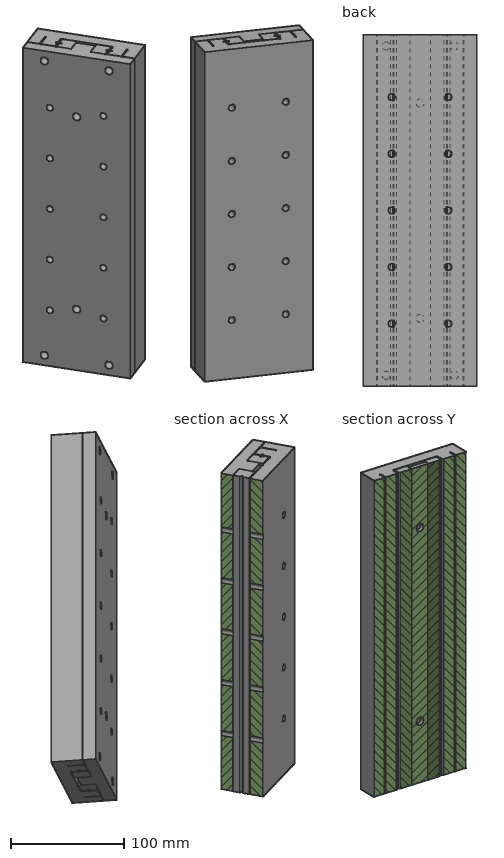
import cadquery as cq

LENGTH = 310.0
WIDTH = 100.0
HEIGHT = 40.0

BASE_THICKNESS = 11.5
RIB_WIDTH = 18.0
RIB_TOP = 24.2

RAIL_OUTER_X = 23.0
RAIL_TOP = 27.0

CARRIAGE_BOTTOM = 12.0
RUNNING_GAP = 1.2
CHANNEL_HALF_WIDTH = RAIL_OUTER_X + RUNNING_GAP
CHANNEL_TOP = 27.5
CHANNEL_CHAMFER = 0.5
SLIT_X = 38.0
SLIT_WIDTH = 1.0
SLIT_TOP = 27.0

GROOVE_Y = 19.5
GROOVE_HALF_HEIGHT = 1.5
GROOVE_DEPTH = 2.2

MOUNT_DIAMETER = 7.0
MOUNT_CORNER_X = 30.0
MOUNT_CORNER_Z = 145.0
MOUNT_CENTRE_Z = 95.0
ACCESS_DIAMETER = 6.0
ACCESS_PITCH = 50.0
ACCESS_X = ACCESS_PITCH / 2
ACCESS_ROWS = 5

MOUNT_POINTS = [
    (x, z)
    for x in (-MOUNT_CORNER_X, MOUNT_CORNER_X)
    for z in (-MOUNT_CORNER_Z, MOUNT_CORNER_Z)
]
MOUNT_POINTS += [(0, z) for z in (-MOUNT_CENTRE_Z, MOUNT_CENTRE_Z)]
ACCESS_POINTS = [
    (side * ACCESS_X, (row - (ACCESS_ROWS - 1) / 2) * ACCESS_PITCH)
    for side in (-1, 1)
    for row in range(ACCESS_ROWS)
]


def bar(x_min, x_max, y_min, y_max):
    """Full-length rectangular bar, centred on Z = 0."""
    return (
        cq.Workplane("XY", origin=(x_min, y_min, 0))
        .box(x_max - x_min, y_max - y_min, LENGTH, centered=(False, False, True))
    )


def holes(points, diameter, y_min, y_max):
    """Cylinders along Y from y_min to y_max at the given (x, z) points."""
    plane = cq.Plane(origin=(0, y_min, 0), xDir=(1, 0, 0), normal=(0, -1, 0))
    return cq.Workplane(plane).pushPoints(points).circle(diameter / 2).extrude(y_min - y_max)


def groove(side, face_x, direction):
    """V-groove cutter with its mouth on face_x; direction +1 points away from the centre, -1 towards it."""
    tip_x = face_x + direction * GROOVE_DEPTH
    return (
        cq.Workplane("XY", origin=(0, 0, -LENGTH / 2))
        .moveTo(side * face_x, GROOVE_Y - GROOVE_HALF_HEIGHT)
        .lineTo(side * tip_x, GROOVE_Y)
        .lineTo(side * face_x, GROOVE_Y + GROOVE_HALF_HEIGHT)
        .close()
        .extrude(LENGTH)
    )


def make_base():
    plate = bar(-WIDTH / 2, WIDTH / 2, 0, BASE_THICKNESS)
    rib = bar(-RIB_WIDTH / 2, RIB_WIDTH / 2, 0, RIB_TOP)
    base = plate.union(rib)
    base = base.cut(holes(MOUNT_POINTS, MOUNT_DIAMETER, 0, RIB_TOP))
    return base.cut(holes(ACCESS_POINTS, ACCESS_DIAMETER, 0, BASE_THICKNESS))


def make_rail(side):
    edges = sorted((side * RIB_WIDTH / 2, side * RAIL_OUTER_X))
    rail = bar(*edges, BASE_THICKNESS, RAIL_TOP)
    return rail.cut(groove(side, RAIL_OUTER_X, -1))


def make_carriage():
    block = bar(-WIDTH / 2, WIDTH / 2, CARRIAGE_BOTTOM, HEIGHT)
    channel = bar(-CHANNEL_HALF_WIDTH, CHANNEL_HALF_WIDTH, CARRIAGE_BOTTOM, CHANNEL_TOP)
    channel = channel.edges("|Z and >Y").chamfer(CHANNEL_CHAMFER)
    carriage = block.cut(channel)
    for side in (-1, 1):
        slit_x = side * SLIT_X
        slit = bar(slit_x - SLIT_WIDTH / 2, slit_x + SLIT_WIDTH / 2, CARRIAGE_BOTTOM, SLIT_TOP)
        carriage = carriage.cut(slit)
        carriage = carriage.cut(groove(side, CHANNEL_HALF_WIDTH, 1))
    return carriage.cut(holes(ACCESS_POINTS, ACCESS_DIAMETER, CHANNEL_TOP, HEIGHT))


base = make_base()
rails = [make_rail(side) for side in (-1, 1)]
carriage = make_carriage()

result = cq.Compound.makeCompound([base.val(), *[rail.val() for rail in rails], carriage.val()])